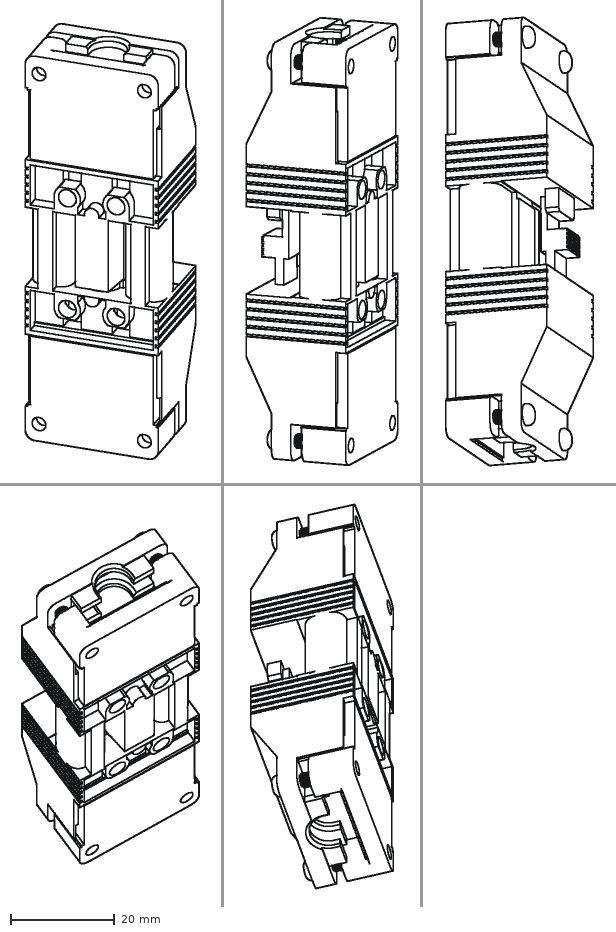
import cadquery as cq

LENGTH = 82.5
WIDTH = 27.5
HALF_LENGTH = LENGTH / 2
HALF_WIDTH = WIDTH / 2

HOUSING_END = 8.5
REAR_END = 8.7
BACK = 20.7
SHOULDER = 15.4
TAPER_INNER = 21.0
TAPER_OUTER = 31.9
CORNER_RADIUS = 2.0

GAP_FRONT = 9.1
GAP_BACK = 11.4
GAP_FLOOR = 33.75
INNER_JAW_TOP = 35.5
JAW_HALF_WIDTH = 8.3

MOUTH_HALF_WIDTH = 8.6
MOUTH_ROUND = 1.15
MOUTH_FRONT = 3.6
MOUTH_CHAMFER = 0.5

JAW_FRONT = 7.8
JAW_BOTTOM = 39.3
JAW_TOP = 41.0
ARCH_RADIUS = 3.7
ARCH_CHAMFER = 0.7
ARCH_CENTER = 9.1
CHAMBER_BACK = 14.4

SCREW_X = 10.9
SCREW_Z = 37.5
SCREW_RADIUS = 1.4
SCREW_HOLE_DEPTH = 2.5
THREAD_PITCH = 0.7
THREAD_DEPTH = 0.25
HEAD_RADIUS = 2.15
HEAD_HEIGHT = 1.6
HEAD_FILLET = 1.2

PANEL_HALF_WIDTH = 12.7
PANEL_DEPTH = 2.1
PANEL_INNER = 19.0
SIDE_SLOT_OUTER = 13.3
SIDE_SLOT_BOTTOM = 28.9
SEAM_WIDTH = 0.25
COVER_SEAM_WIDTH = 0.4

GROOVE_COUNT = 5
GROOVE_FIRST = 9.9
GROOVE_PITCH = 1.7
GROOVE_WIDTH = 0.5
GROOVE_DEPTH = 0.6

POCKET_HALF_WIDTH = 12.7
POCKET_INNER = 9.15
POCKET_OUTER = 17.1
POCKET_DEPTH = 2.7
LEDGE_OUTER = 17.7
LEDGE_DEPTH = 2.3
BOSS_X = 5.0
BOSS_Z = 11.9
BOSS_RADIUS = 2.7
BOSS_OUTER = 14.0
BOSS_FOOT_TOP = BOSS_Z - BOSS_RADIUS / 2
BOSS_HOLE_RADIUS = 1.8
NUT_SLOT_FRONT = 3.7
NUT_SLOT_DEPTH = 5.6
RECESS_HALF_WIDTH = 2.9
RECESS_INNER = 8.75
BUMP_RADIUS = 1.5
BUMP_CENTER = 9.1

BRIDGE_FRONT = 2.1
BRIDGE_BACK = 10.4
RAIL_ROUND = 2.6
CHANNEL_HALF_WIDTH = 5.45
CHANNEL_FLOOR = 6.6
RIB_HALF_WIDTH = 3.4
RIB_BASE_HALF_WIDTH = 4.1
RIB_BOTTOM = -6.85
COLLAR_HALF_WIDTH = 4.7
COLLAR_FRONT = 6.0
COLLAR_CHAMFER = 0.4
POST_RADIUS = 3.6
SLAB_BACK = 11.9
SLAB_BOTTOM = -6.9
SLAB_TOP = 7.2

TAB_HALF_WIDTH = 4.7
BUTTON_HALF_WIDTH = 3.5
BUTTON_BACK = 21.5
BUTTON_TOOTH_DEPTH = 0.3
BUTTON_TOOTH_COUNT = 5
BUTTON_BOTTOM = -3.5
BUTTON_TOP = 0.8
TAB_BACK = 20.0
TAB_BOTTOM = 4.1
TAB_CHAMFER = 0.75
TONGUE_FRONT = 15.9
TONGUE_BACK = 17.25
TONGUE_TOP = 7.4
STEM_FRONT = 16.9
STEM_BACK = 18.7


def box(x0, x1, y0, y1, z0, z1):
    """Box between two opposite corners."""
    return cq.Workplane("XY").box(x1 - x0, y1 - y0, z1 - z0, centered=False).translate((x0, y0, z0))


def centered_box(half_width, y0, y1, z0, z1):
    """Box symmetric about X = 0."""
    return box(-half_width, half_width, y0, y1, z0, z1)


def rod(radius, x, z, y0, y1):
    """Cylinder along Y."""
    return cq.Workplane("XZ", origin=(x, y0, z)).circle(radius).extrude(y0 - y1)


def housing_body():
    profile = [
        (0, HOUSING_END),
        (GAP_BACK, HOUSING_END),
        (GAP_BACK, REAR_END),
        (BACK, REAR_END),
        (BACK, TAPER_INNER),
        (SHOULDER, TAPER_OUTER),
        (SHOULDER, HALF_LENGTH),
        (0, HALF_LENGTH),
    ]
    body = cq.Workplane("YZ").polyline(profile).close().extrude(HALF_WIDTH, both=True)
    return body.edges("|Y and >Z").fillet(CORNER_RADIUS)


def cut_clamp_gap(body):
    return body.cut(centered_box(HALF_WIDTH, GAP_FRONT, GAP_BACK, GAP_FLOOR, HALF_LENGTH))


def cut_cable_mouth(body):
    """Cavity whose side walls flare outward in a round and whose front wall is chamfered."""
    flared_width = MOUTH_HALF_WIDTH + MOUTH_ROUND
    round_start = HALF_LENGTH - MOUTH_ROUND
    outline = (
        cq.Workplane("XZ", origin=(0, MOUTH_FRONT, 0))
        .moveTo(-MOUTH_HALF_WIDTH, GAP_FLOOR)
        .lineTo(MOUTH_HALF_WIDTH, GAP_FLOOR)
        .lineTo(MOUTH_HALF_WIDTH, round_start)
        .radiusArc((flared_width, HALF_LENGTH), MOUTH_ROUND)
        .lineTo(-flared_width, HALF_LENGTH)
        .radiusArc((-MOUTH_HALF_WIDTH, round_start), MOUTH_ROUND)
        .close()
    )
    cavity = outline.extrude(MOUTH_FRONT - GAP_BACK)
    chamfer_floor = centered_box(
        flared_width, MOUTH_FRONT, MOUTH_FRONT + MOUTH_CHAMFER, GAP_FLOOR, HALF_LENGTH - MOUTH_CHAMFER
    )
    return body.cut(cavity.cut(chamfer_floor))


def arch_cutter(z0, z1):
    """Upright slot with a round back, open toward the front and widened by a chamfer at the top."""
    chamfer_start = z1 - ARCH_CHAMFER
    wide_radius = ARCH_RADIUS + ARCH_CHAMFER
    shaft = cq.Workplane("XY", origin=(0, ARCH_CENTER, z0)).circle(ARCH_RADIUS).extrude(z1 - z0)
    cone = (
        cq.Workplane("XY", origin=(0, ARCH_CENTER, chamfer_start))
        .circle(ARCH_RADIUS)
        .workplane(offset=ARCH_CHAMFER)
        .circle(wide_radius)
        .loft()
    )
    shaft_front = centered_box(ARCH_RADIUS, JAW_FRONT, ARCH_CENTER, z0, z1)
    flare_profile = [
        (-ARCH_RADIUS, chamfer_start),
        (ARCH_RADIUS, chamfer_start),
        (wide_radius, z1),
        (-wide_radius, z1),
    ]
    flare_plane = cq.Workplane("XZ", origin=(0, JAW_FRONT, 0))
    cone_front = flare_plane.polyline(flare_profile).close().extrude(JAW_FRONT - ARCH_CENTER)
    return shaft.union(cone).union(shaft_front).union(cone_front)


def add_cable_jaws(body):
    """Outer and inner jaw plates with a hollow chamber between them."""
    chamber = centered_box(JAW_HALF_WIDTH, GAP_BACK, CHAMBER_BACK, INNER_JAW_TOP, JAW_BOTTOM)
    body = body.cut(chamber)
    body = body.union(centered_box(JAW_HALF_WIDTH, JAW_FRONT, GAP_BACK, GAP_FLOOR, INNER_JAW_TOP))
    body = body.union(centered_box(JAW_HALF_WIDTH, JAW_FRONT, GAP_BACK, JAW_BOTTOM, JAW_TOP))
    body = body.cut(arch_cutter(GAP_FLOOR, INNER_JAW_TOP))
    return body.cut(arch_cutter(JAW_BOTTOM, HALF_LENGTH))


def add_clamp_screws(body):
    for x in (-SCREW_X, SCREW_X):
        core = rod(SCREW_RADIUS - THREAD_DEPTH, x, SCREW_Z, SCREW_HOLE_DEPTH, SHOULDER)
        head = rod(HEAD_RADIUS, x, SCREW_Z, SHOULDER, SHOULDER + HEAD_HEIGHT)
        head = head.faces(">Y").edges().fillet(HEAD_FILLET)
        body = body.cut(rod(SCREW_RADIUS, x, SCREW_Z, 0, SCREW_HOLE_DEPTH)).union(core).union(head)
        thread_count = int((GAP_BACK - GAP_FRONT) / THREAD_PITCH)
        for i in range(thread_count):
            y = GAP_FRONT + (i + 0.5) * THREAD_PITCH
            body = body.union(rod(SCREW_RADIUS, x, SCREW_Z, y, y + THREAD_PITCH / 2))
    return body


def cut_panel_seams(body):
    """Step the panel sides back, separate the panel from its neighbours and slot the sides behind it."""
    seam_outer = GAP_FLOOR + COVER_SEAM_WIDTH
    body = body.cut(centered_box(HALF_WIDTH, 0, PANEL_DEPTH, PANEL_INNER - SEAM_WIDTH, PANEL_INNER))
    side_step = box(PANEL_HALF_WIDTH, HALF_WIDTH, 0, PANEL_DEPTH, PANEL_INNER, GAP_FLOOR)
    cover_seam = box(HALF_WIDTH - COVER_SEAM_WIDTH, HALF_WIDTH, 0, GAP_FRONT, GAP_FLOOR, seam_outer)
    side_slot = box(PANEL_HALF_WIDTH, SIDE_SLOT_OUTER, 0, GAP_BACK, SIDE_SLOT_BOTTOM, GAP_FLOOR)
    side_cut = side_step.union(cover_seam).union(side_slot)
    return body.cut(side_cut).cut(side_cut.mirror("YZ"))


def cut_grip_grooves(body):
    for i in range(GROOVE_COUNT):
        z0 = GROOVE_FIRST + i * GROOVE_PITCH - GROOVE_WIDTH / 2
        z1 = z0 + GROOVE_WIDTH
        body = body.cut(box(-HALF_WIDTH, GROOVE_DEPTH - HALF_WIDTH, 0, BACK, z0, z1))
        body = body.cut(box(HALF_WIDTH - GROOVE_DEPTH, HALF_WIDTH, 0, BACK, z0, z1))
    return body


def cut_nut_pocket(body):
    pocket = centered_box(POCKET_HALF_WIDTH, 0, POCKET_DEPTH, POCKET_INNER, POCKET_OUTER)
    pocket = pocket.union(centered_box(POCKET_HALF_WIDTH, 0, LEDGE_DEPTH, POCKET_OUTER, LEDGE_OUTER))
    pocket = pocket.union(centered_box(RECESS_HALF_WIDTH, 0, POCKET_DEPTH, RECESS_INNER, POCKET_INNER))
    pocket = pocket.cut(rod(BUMP_RADIUS, 0, BUMP_CENTER, 0, POCKET_DEPTH))
    pocket = pocket.cut(centered_box(BUMP_RADIUS, 0, POCKET_DEPTH, RECESS_INNER, BUMP_CENTER))
    for side in (-1, 1):
        x = side * BOSS_X
        foot = sorted((side * RECESS_HALF_WIDTH, side * (BOSS_X + BOSS_RADIUS)))
        boss = rod(BOSS_RADIUS, x, BOSS_Z, 0, POCKET_DEPTH)
        boss = boss.union(box(*foot, 0, POCKET_DEPTH, RECESS_INNER, BOSS_FOOT_TOP))
        outer_foot = sorted((x, side * (BOSS_X + BOSS_RADIUS)))
        boss = boss.union(box(*outer_foot, 0, POCKET_DEPTH, RECESS_INNER, BOSS_Z))
        slot_x = (x - BOSS_HOLE_RADIUS, x + BOSS_HOLE_RADIUS)
        nut_entry = box(*slot_x, 0, NUT_SLOT_DEPTH, BOSS_OUTER, POCKET_OUTER)
        nut_slot = box(*slot_x, NUT_SLOT_FRONT, NUT_SLOT_DEPTH, BOSS_Z, POCKET_OUTER)
        hole = rod(BOSS_HOLE_RADIUS, x, BOSS_Z, 0, NUT_SLOT_DEPTH)
        pocket = pocket.cut(boss).union(nut_entry).union(nut_slot).union(hole)
    return body.cut(pocket)


def housing():
    body = housing_body()
    body = cut_clamp_gap(body)
    body = cut_cable_mouth(body)
    body = add_cable_jaws(body)
    body = add_clamp_screws(body)
    body = cut_panel_seams(body)
    body = cut_grip_grooves(body)
    return cut_nut_pocket(body)


def bridge():
    """Two rounded rails with front pillars, joined by a web that carries a tapered middle rib."""
    z0, z1 = -HOUSING_END, HOUSING_END
    rail = box(CHANNEL_HALF_WIDTH, HALF_WIDTH, BRIDGE_FRONT, BRIDGE_BACK, z0, z1)
    rail = rail.edges("|Z").fillet(RAIL_ROUND)
    pillar_x = (CHANNEL_HALF_WIDTH + RAIL_ROUND, HALF_WIDTH - RAIL_ROUND)
    rail = rail.union(box(*pillar_x, 0, BRIDGE_FRONT + RAIL_ROUND, z0, z1))
    web = centered_box(HALF_WIDTH - RAIL_ROUND, CHANNEL_FLOOR, BRIDGE_BACK, z0, z1)

    rib_profile = [
        (-RIB_HALF_WIDTH, 0),
        (RIB_HALF_WIDTH, 0),
        (RIB_BASE_HALF_WIDTH, CHANNEL_FLOOR),
        (-RIB_BASE_HALF_WIDTH, CHANNEL_FLOOR),
    ]
    rib_plane = cq.Workplane("XY", origin=(0, 0, RIB_BOTTOM))
    rib = rib_plane.polyline(rib_profile).close().extrude(z1 - RIB_BOTTOM)

    collar = centered_box(COLLAR_HALF_WIDTH, COLLAR_FRONT, CHANNEL_FLOOR, z0, RIB_BOTTOM)
    collar = collar.edges("|Z and <Y").chamfer(COLLAR_CHAMFER)
    post_plane = cq.Workplane("XY", origin=(0, CHANNEL_FLOOR, z0))
    post = post_plane.circle(POST_RADIUS).extrude(RIB_BOTTOM - z0)

    back_pad = centered_box(COLLAR_HALF_WIDTH, CHANNEL_FLOOR, GAP_BACK, z0, z1)
    slab = centered_box(COLLAR_HALF_WIDTH, CHANNEL_FLOOR, SLAB_BACK, SLAB_BOTTOM, SLAB_TOP)

    bar = web.union(rail).union(rail.mirror("YZ")).union(rib).union(collar)
    return bar.union(post).union(back_pad).union(slab)


def latch():
    """Stepped tongue joining the housings behind the bridge, with a toothed push button."""
    tab = centered_box(TAB_HALF_WIDTH, TONGUE_BACK, TAB_BACK, TAB_BOTTOM, REAR_END)
    tab = tab.edges("|Y and <Z").chamfer(TAB_CHAMFER)
    tongue = centered_box(BUTTON_HALF_WIDTH, TONGUE_FRONT, TONGUE_BACK, BUTTON_BOTTOM, TONGUE_TOP)
    button_base = BUTTON_BACK - BUTTON_TOOTH_DEPTH
    button = centered_box(BUTTON_HALF_WIDTH, TONGUE_FRONT, button_base, BUTTON_BOTTOM, BUTTON_TOP)
    tooth_pitch = (BUTTON_TOP - BUTTON_BOTTOM) / BUTTON_TOOTH_COUNT
    for i in range(BUTTON_TOOTH_COUNT):
        z = BUTTON_BOTTOM + i * tooth_pitch
        button = button.union(
            centered_box(BUTTON_HALF_WIDTH, button_base, BUTTON_BACK, z, z + tooth_pitch / 2)
        )
    stem = centered_box(BUTTON_HALF_WIDTH, STEM_FRONT, STEM_BACK, -REAR_END, BUTTON_BOTTOM)
    return tab.union(tongue).union(button).union(stem)


upper_housing = housing()
lower_housing = upper_housing.mirror("XY")
result = upper_housing.union(lower_housing).union(bridge()).union(latch())